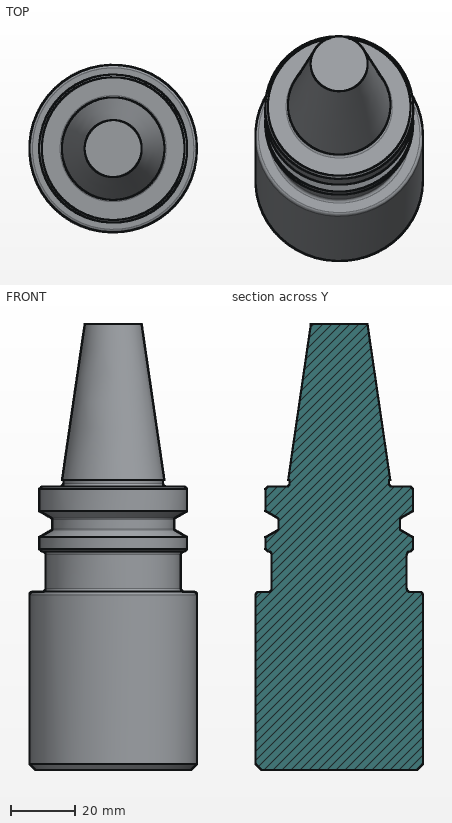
import cadquery as cq
import math

total_length = 138.4
body_radius = 26.0
body_top = 55.4
body_top_fillet = 1.0
body_bottom_chamfer = 2.0

neck_radius = 21.0
neck_fillet = 1.0

flange_radius = 23.0
flange_bottom = 67.8
flange_top = 88.0
flange_chamfer = 0.8
groove_radius = 19.0
groove_floor_bottom = 74.6
groove_floor_top = 78.0
groove_wall_angle = math.radians(30)
groove_fillet = 0.4
groove_wall_height = (flange_radius - groove_radius) * math.tan(groove_wall_angle)

fillet_reach = groove_fillet * math.tan((math.pi / 2 - groove_wall_angle) / 2)
fillet_wall_radius = groove_radius + fillet_reach * math.cos(groove_wall_angle)
fillet_wall_rise = fillet_reach * math.sin(groove_wall_angle)

gauge_height = 90.0
gauge_radius = 15.9
taper_ratio = 7 / 24
relief_radius = 15.5
relief_fillet = 1.0
taper_top_radius = gauge_radius - (total_length - gauge_height) * taper_ratio / 2

profile = (
    cq.Workplane("XZ")
    .moveTo(0, 0)
    .lineTo(body_radius - body_bottom_chamfer, 0)
    .lineTo(body_radius, body_bottom_chamfer)
    .lineTo(body_radius, body_top - body_top_fillet)
    .radiusArc((body_radius - body_top_fillet, body_top), -body_top_fillet)
    .lineTo(neck_radius + neck_fillet, body_top)
    .radiusArc((neck_radius, body_top + neck_fillet), neck_fillet)
    .lineTo(neck_radius, flange_bottom - neck_fillet)
    .radiusArc((neck_radius + neck_fillet, flange_bottom), neck_fillet)
    .lineTo(flange_radius - flange_chamfer, flange_bottom)
    .lineTo(flange_radius, flange_bottom + flange_chamfer)
    .lineTo(flange_radius, groove_floor_bottom - groove_wall_height)
    .lineTo(fillet_wall_radius, groove_floor_bottom - fillet_wall_rise)
    .radiusArc((groove_radius, groove_floor_bottom + fillet_reach), groove_fillet)
    .lineTo(groove_radius, groove_floor_top - fillet_reach)
    .radiusArc((fillet_wall_radius, groove_floor_top + fillet_wall_rise), groove_fillet)
    .lineTo(flange_radius, groove_floor_top + groove_wall_height)
    .lineTo(flange_radius, flange_top - flange_chamfer)
    .lineTo(flange_radius - flange_chamfer, flange_top)
    .lineTo(relief_radius + relief_fillet, flange_top)
    .radiusArc((relief_radius, flange_top + relief_fillet), relief_fillet)
    .lineTo(relief_radius, gauge_height)
    .lineTo(gauge_radius, gauge_height)
    .lineTo(taper_top_radius, total_length)
    .lineTo(0, total_length)
    .close()
)

result = profile.revolve(360, (0, 0, 0), (0, 1, 0))